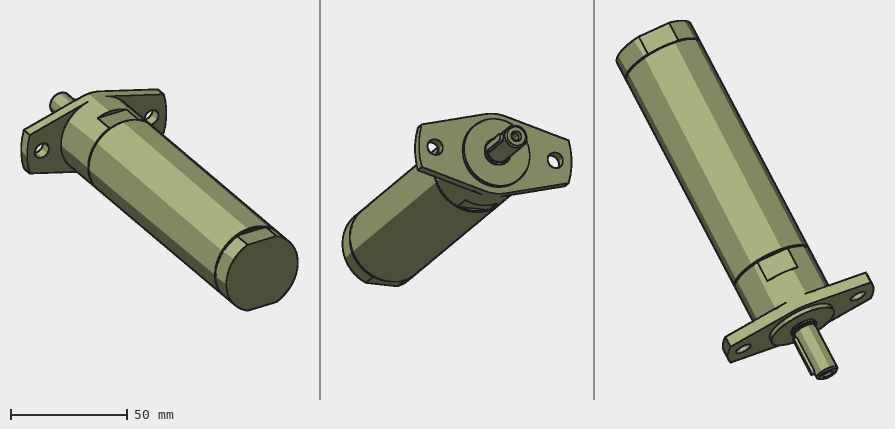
import cadquery as cq
import math

LENGTH = 169.7
SEAL_START = 23.0
PILOT_START = 24.5
FLANGE_START = 26.5
FLANGE_THICKNESS = 5.1
FRONT_FLATS_START = 44.3
MAIN_START = 54.1
MAIN_END = 160.7

BODY_RADIUS = 36.0 / 2
MAIN_CHAMFER = 0.5
PILOT_RADIUS = 30.0 / 2
ACROSS_FLATS = 33.0

SHAFT_RADIUS = 10.0 / 2
SHAFT_CHAMFER = 0.76
NECK_RADIUS = 9.8 / 2
NECK_LENGTH = 0.5
SEAL_RADIUS = 11.4 / 2
LIP_RADIUS = 11.9 / 2
LIP_THICKNESS = 0.3

DRILL_RADIUS = 3.2 / 2
DRILL_DEPTH = 8.5
DRILL_POINT_ANGLE = 120.0
COUNTERSINK_RADIUS = 4.5 / 2
COUNTERSINK_ANGLE = 60.0

KEY_START = 2.7
KEY_LENGTH = 18.5
KEY_WIDTH = 3.0
KEY_TOP = 6.36
KEY_DEPTH = 3.0

FLANGE_RADIUS = 70.0 / 2
FLANGE_TAPER = math.radians(15)
MOUNT_HOLE_OFFSET = 27.5
MOUNT_HOLE_DIAMETER = 7.0


def rod(radius, start, end):
    """Cylinder on the X axis between two stations."""
    return cq.Workplane("YZ", origin=(start, 0, 0)).circle(radius).extrude(end - start)


def flatted_rod(start, end):
    """Body-diameter cylinder with wrench flats facing +Z and -Z."""
    length = end - start
    slab = cq.Workplane("YZ", origin=(start, 0, 0)).rect(2 * BODY_RADIUS, ACROSS_FLATS).extrude(length)
    return rod(BODY_RADIUS, start, end).intersect(slab)


def make_body():
    main = rod(BODY_RADIUS, MAIN_START, MAIN_END).edges("%CIRCLE").chamfer(MAIN_CHAMFER)
    return (
        rod(PILOT_RADIUS, PILOT_START, FLANGE_START)
        .union(rod(BODY_RADIUS, FLANGE_START, FRONT_FLATS_START))
        .union(flatted_rod(FRONT_FLATS_START, MAIN_START))
        .union(main)
        .union(flatted_rod(MAIN_END, LENGTH))
    )


def make_flange():
    """Two-hole flange: sloping sides tangent to the body, ends concentric with it."""
    peak_z = BODY_RADIUS / math.cos(FLANGE_TAPER)
    tangent_y = BODY_RADIUS * math.sin(FLANGE_TAPER)
    tangent_z = BODY_RADIUS * math.cos(FLANGE_TAPER)
    end_z = peak_z - FLANGE_RADIUS * math.tan(FLANGE_TAPER)
    plate = (
        cq.Workplane("YZ", origin=(FLANGE_START, 0, 0))
        .moveTo(FLANGE_RADIUS, -end_z)
        .lineTo(FLANGE_RADIUS, end_z)
        .lineTo(tangent_y, tangent_z)
        .threePointArc((0, BODY_RADIUS), (-tangent_y, tangent_z))
        .lineTo(-FLANGE_RADIUS, end_z)
        .lineTo(-FLANGE_RADIUS, -end_z)
        .lineTo(-tangent_y, -tangent_z)
        .threePointArc((0, -BODY_RADIUS), (tangent_y, -tangent_z))
        .close()
        .extrude(FLANGE_THICKNESS)
    )
    return plate.intersect(rod(FLANGE_RADIUS, FLANGE_START, FLANGE_START + FLANGE_THICKNESS))


def make_shaft():
    neck_start = SEAL_START - NECK_LENGTH
    shaft = rod(SHAFT_RADIUS, 0, neck_start).faces("<X").chamfer(SHAFT_CHAMFER)
    neck = rod(NECK_RADIUS, neck_start, SEAL_START)
    seal = rod(SEAL_RADIUS, SEAL_START, PILOT_START)
    lip = rod(LIP_RADIUS, SEAL_START, SEAL_START + LIP_THICKNESS)
    return shaft.union(neck).union(seal).union(lip)


def make_key():
    """Parallel key with rounded ends, sunk into the shaft."""
    return (
        cq.Workplane("XZ", origin=(KEY_START + KEY_LENGTH / 2, KEY_TOP, 0))
        .slot2D(KEY_LENGTH, KEY_WIDTH)
        .extrude(KEY_DEPTH)
    )


def make_centre_hole():
    """Countersunk drill hole with a conical bottom, revolved about the X axis."""
    countersink_depth = (COUNTERSINK_RADIUS - DRILL_RADIUS) / math.tan(math.radians(COUNTERSINK_ANGLE / 2))
    point_depth = DRILL_RADIUS / math.tan(math.radians(DRILL_POINT_ANGLE / 2))
    return (
        cq.Workplane("XY")
        .moveTo(0, 0)
        .lineTo(0, COUNTERSINK_RADIUS)
        .lineTo(countersink_depth, DRILL_RADIUS)
        .lineTo(DRILL_DEPTH, DRILL_RADIUS)
        .lineTo(DRILL_DEPTH + point_depth, 0)
        .close()
        .revolve(360, (0, 0, 0), (1, 0, 0))
    )


def make_mount_holes():
    return (
        cq.Workplane("YZ", origin=(FLANGE_START, 0, 0))
        .pushPoints([(-MOUNT_HOLE_OFFSET, 0), (MOUNT_HOLE_OFFSET, 0)])
        .circle(MOUNT_HOLE_DIAMETER / 2)
        .extrude(FLANGE_THICKNESS)
    )


result = (
    make_body()
    .union(make_flange())
    .union(make_shaft())
    .union(make_key())
    .cut(make_centre_hole())
    .cut(make_mount_holes())
)